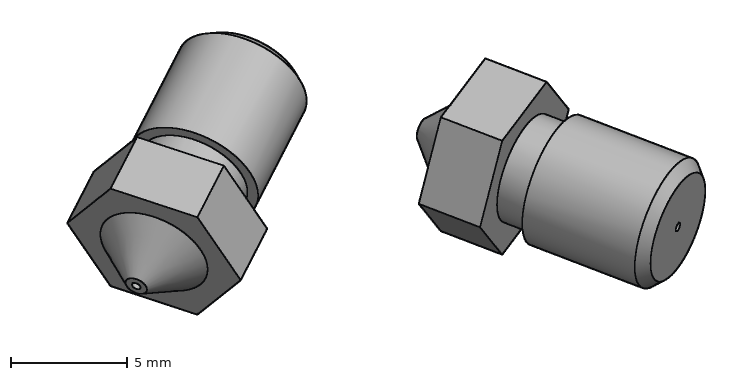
import cadquery as cq
import math


tip_diameter = 1.0
cone_base_diameter = 5.0
cone_length = 2.0
orifice_diameter = 0.4

hex_across_flats = 7.0
hex_length = 3.0

neck_diameter = 5.0
neck_length = 1.5
shank_diameter = 6.0
shank_length = 6.0
shank_chamfer = 0.5

hex_start = cone_length
neck_start = hex_start + hex_length
shank_start = neck_start + neck_length
total_length = shank_start + shank_length


def section_plane(station):
    """Plane across the axis at Y = station, facing +Y, with its local x along X."""
    return cq.Workplane(cq.Plane(origin=(0, station, 0), xDir=(1, 0, 0), normal=(0, 1, 0)))


def cylinder(start, length, diameter):
    return section_plane(start).circle(diameter / 2).extrude(length)


def make_cone():
    """Truncated cone from the flat tip to the hexagon."""
    outline = [
        (0, 0),
        (tip_diameter / 2, 0),
        (cone_base_diameter / 2, cone_length),
        (0, cone_length),
    ]
    return cq.Workplane("XY").polyline(outline).close().revolve(360, (0, 0, 0), (0, 1, 0))


def make_hexagon():
    """Hexagonal prism with corners on +X and -X and flats on +Z and -Z."""
    across_corners = hex_across_flats / math.cos(math.pi / 6)
    return section_plane(hex_start).polygon(6, across_corners).extrude(hex_length)


def make_shank():
    """Cylindrical shank, chamfered at its free end."""
    return cylinder(shank_start, shank_length, shank_diameter).faces(">Y").chamfer(shank_chamfer)


neck = cylinder(neck_start, neck_length, neck_diameter)
orifice = cylinder(0, total_length, orifice_diameter)

result = make_cone().union(make_hexagon()).union(neck).union(make_shank()).cut(orifice)